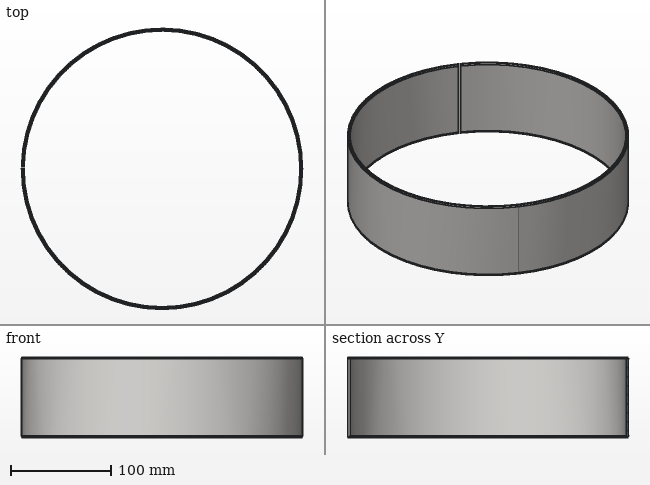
import cadquery as cq

outer_diameter = 280.0
height = 80.0
wall = 2.5
chamfer_height = 1.7
chamfer_inset = 0.7
slit_width = 2.2

outer_radius = outer_diameter / 2
inner_radius = outer_radius - wall

wall_section = [
    (inner_radius + chamfer_inset, 0),
    (outer_radius - chamfer_inset, 0),
    (outer_radius, chamfer_height),
    (outer_radius, height - chamfer_height),
    (outer_radius - chamfer_inset, height),
    (inner_radius + chamfer_inset, height),
    (inner_radius, height - chamfer_height),
    (inner_radius, chamfer_height),
]
band = cq.Workplane("XZ").polyline(wall_section).close().revolve(360, (0, 0), (0, 1))

slit_depth = 4 * wall
slit = (
    cq.Workplane("XY")
    .center(-outer_radius + wall / 2, slit_width / 2)
    .rect(slit_depth, slit_width)
    .extrude(height)
)

result = band.cut(slit)